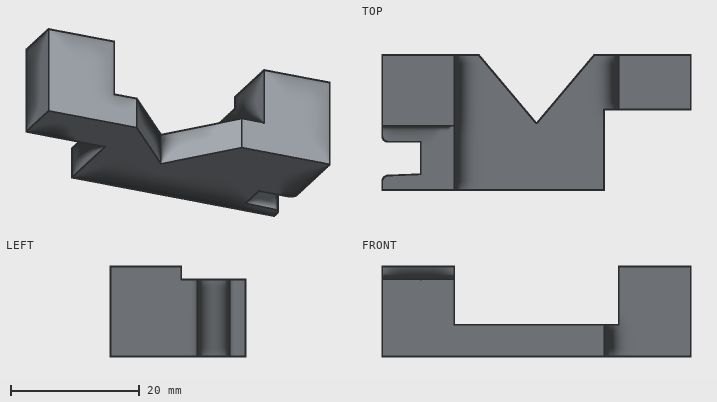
import cadquery as cq

length = 48.0
width = 21.0
height = 14.0

plate_thickness = 5.0
plate_length = 34.5
arm_width = 8.5

block_length = 11.25
ledge_width = 10.0
ledge_height = 12.0

notch_width = 17.95
notch_depth = 10.65

slot_depth = 6.0
slot_back = 7.5
slot_front_inner = 2.5
slot_front_mouth = 2.25
lip_radius = 1.0


def box(x, y, size_x, size_y, size_z):
    """Box standing on the base plane with its left front corner at (x, y)."""
    return cq.Workplane("XY").box(size_x, size_y, size_z, centered=False).translate((x, y, 0))


def make_plate():
    arm_front = width - arm_width
    plate = box(0, 0, plate_length, width, plate_thickness)
    return plate.union(box(0, arm_front, length, arm_width, plate_thickness))


def make_left_block():
    ledge = box(0, 0, block_length, ledge_width, ledge_height)
    return ledge.union(box(0, ledge_width, block_length, width - ledge_width, height))


def make_right_block():
    return box(length - block_length, width - arm_width, block_length, arm_width, height)


def make_notch():
    middle = length / 2
    outline = [
        (middle - notch_width / 2, width),
        (middle, width - notch_depth),
        (middle + notch_width / 2, width),
    ]
    return cq.Workplane("XY").polyline(outline).close().extrude(plate_thickness)


def make_slot():
    outline = [
        (0, slot_front_mouth),
        (slot_depth, slot_front_inner),
        (slot_depth, slot_back),
        (0, slot_back),
    ]
    return cq.Workplane("XY").polyline(outline).close().extrude(height)


def round_slot_lips(body):
    """Round the two upright edges at the mouth of the slot."""
    margin = lip_radius / 2
    mouth = cq.selectors.BoxSelector(
        (-margin, slot_front_mouth - margin, 0),
        (margin, slot_back + margin, height),
    )
    return body.edges("|Z").edges(mouth).fillet(lip_radius)


body = make_plate().union(make_left_block()).union(make_right_block())
body = body.cut(make_notch()).cut(make_slot())
result = round_slot_lips(body)